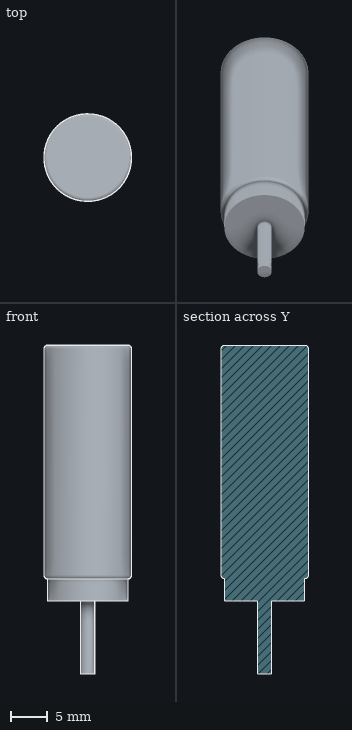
import cadquery as cq

total_length = 45.0
body_diameter = 12.0
edge_radius = 0.5
collar_diameter = body_diameter - 2 * edge_radius
collar_length = 3.0
cable_diameter = 2.0
cable_length = 10.0

collar_top = cable_length + collar_length
body_length = total_length - collar_top


def cylinder(diameter, length, base_height):
    """Upright cylinder centred on the Z axis."""
    return cq.Workplane("XY").workplane(offset=base_height).circle(diameter / 2).extrude(length)


body = cylinder(body_diameter, body_length, collar_top)
body = body.faces("<Z or >Z").edges().fillet(edge_radius)

collar = cylinder(collar_diameter, collar_length, cable_length)
cable = cylinder(cable_diameter, cable_length, 0)

result = body.union(collar).union(cable)